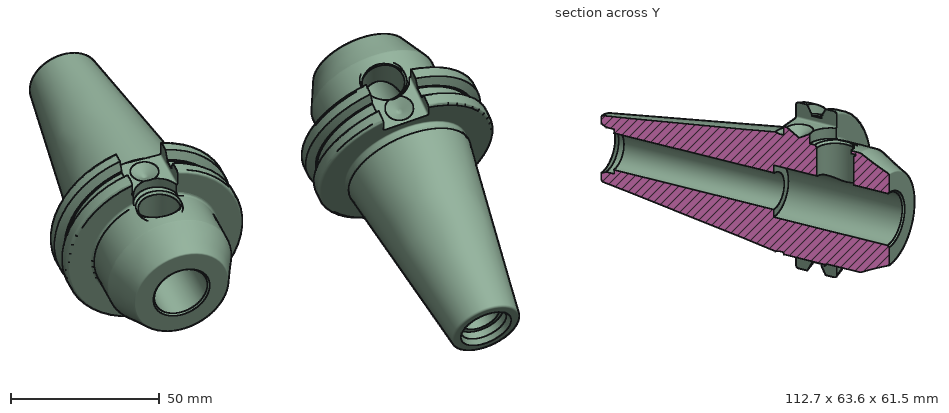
import cadquery as cq
import math


length = 112.7
taper_end_x = 68.2
gauge_radius = 44.4 / 2
taper_ratio = 7 / 24
small_end_radius = gauge_radius - taper_end_x * taper_ratio / 2
small_end_fillet = 0.8
neck_radius = 43.6 / 2
neck_x = 69.5
neck_fillet = 0.5

flange_front_x = 71.3
flange_back_x = 87.3
flange_radius = 63.6 / 2
flange_edge_fillet = 1.0
groove_radius = 28.2
groove_floor_width = 3.8
groove_center_x = (flange_front_x + flange_back_x) / 2
groove_wall_height = 0.7
groove_lean_angle = 30.0
groove_lean_radius = groove_radius + groove_wall_height
groove_lean_width = (flange_radius - groove_lean_radius) * math.tan(math.radians(groove_lean_angle))
groove_mouth_width = groove_floor_width + 2 * groove_lean_width

nose_radius = gauge_radius
nose_fillet = 0.9
nose_cone_x = 101.4
nose_cone_angle = 25.0
nose_end_radius = nose_radius - (length - nose_cone_x) * math.tan(math.radians(nose_cone_angle))
nose_end_fillet = 0.6
nose_cone_fillet = 0.9

through_bore_diameter = 13.4
tool_bore_diameter = 19.0
tool_bore_depth = 45.1
tool_bore_mouth_diameter = 20.3
pull_bore_diameter = 16.3
pull_bore_depth = 5.0
pull_bore_mouth_diameter = 18.3
pull_bore_mouth_depth = 2.0

slot_width = 16.3
slot_corner_fillet = 0.7
upper_slot_floor_z = 24.9
lower_slot_floor_z = 22.5

dimple_x = 77.4
dimple_diameter = 9.6
dimple_angle = 120.0
screw_x = 91.6
screw_diameter = 14.3
screw_chamfer_diameter = 16.0
screw_seat_z = 21.0
screw_seat_diameter = 16.1
seat_x = 89.7


def cylinder_x(start_x, end_x, diameter):
    return cq.Workplane("YZ", origin=(start_x, 0, 0)).circle(diameter / 2).extrude(end_x - start_x)


def cone_x(start_x, end_x, start_diameter, end_diameter):
    profile = [(start_x, 0), (start_x, start_diameter / 2), (end_x, end_diameter / 2), (end_x, 0)]
    return cq.Workplane("XY").polyline(profile).close().revolve(360, (0, 0, 0), (1, 0, 0))


def make_body():
    outline = [
        (0, 0),
        (0, small_end_radius),
        (taper_end_x, gauge_radius),
        (neck_x, neck_radius),
        (flange_front_x, neck_radius),
        (flange_front_x, flange_radius),
        (groove_center_x - groove_mouth_width / 2, flange_radius),
        (groove_center_x - groove_floor_width / 2, groove_lean_radius),
        (groove_center_x - groove_floor_width / 2, groove_radius),
        (groove_center_x + groove_floor_width / 2, groove_radius),
        (groove_center_x + groove_floor_width / 2, groove_lean_radius),
        (groove_center_x + groove_mouth_width / 2, flange_radius),
        (flange_back_x, flange_radius),
        (flange_back_x, nose_radius),
        (nose_cone_x, nose_radius),
        (length, nose_end_radius),
        (length, 0),
    ]
    body = cq.Workplane("XY").polyline(outline).close().revolve(360, (0, 0, 0), (1, 0, 0))

    def rim(x, radius):
        reach = 0.01
        return body.edges(
            cq.selectors.BoxSelector(
                (x - reach, -radius - 1.1, -radius - 1.1), (x + reach, radius + 1.1, radius + 1.1), boundingbox=True
            )
        ).edges(cq.selectors.RadiusNthSelector(0 if radius < flange_radius else -1))

    body = rim(0, small_end_radius).fillet(small_end_fillet)
    body = rim(flange_front_x, neck_radius).fillet(neck_fillet)
    body = rim(flange_front_x, flange_radius).fillet(flange_edge_fillet)
    body = rim(flange_back_x, flange_radius).fillet(flange_edge_fillet)
    body = rim(flange_back_x, nose_radius).fillet(nose_fillet)
    body = rim(nose_cone_x, nose_radius).fillet(nose_cone_fillet)
    body = rim(length, nose_end_radius).fillet(nose_end_fillet)
    return body


def make_bores():
    bores = cylinder_x(0, length, through_bore_diameter)
    bores = bores.union(cylinder_x(length - tool_bore_depth, length, tool_bore_diameter))
    mouth_depth = (tool_bore_mouth_diameter - tool_bore_diameter) / 2
    bores = bores.union(
        cone_x(length - mouth_depth, length, tool_bore_diameter, tool_bore_mouth_diameter)
    )
    bores = bores.union(cylinder_x(0, pull_bore_depth, pull_bore_diameter))
    return bores.union(cone_x(0, pull_bore_mouth_depth, pull_bore_mouth_diameter, pull_bore_diameter))


def make_slot(floor_z, side):
    height = flange_radius - floor_z + 1.1
    slot = cq.Workplane("XY").box(
        flange_back_x - flange_front_x, slot_width, height, centered=(False, True, False)
    )
    slot = slot.edges("|X and <Z").fillet(slot_corner_fillet)
    slot = slot.translate((flange_front_x, 0, floor_z))
    return slot if side > 0 else slot.mirror("XY")


def make_dimple():
    depth = dimple_diameter / 2 / math.tan(math.radians(dimple_angle / 2))
    profile = [(0, 0), (dimple_diameter / 2, 0), (0, -depth)]
    cone = cq.Workplane("XZ").polyline(profile).close().revolve(360, (0, 0, 0), (0, 1, 0))
    return cone.translate((dimple_x, 0, upper_slot_floor_z))


def make_screw_hole():
    hole = cq.Workplane("XY").circle(screw_diameter / 2).extrude(screw_seat_z)
    chamfer = (screw_chamfer_diameter - screw_diameter) / 2
    profile = [
        (0, screw_seat_z - chamfer),
        (screw_diameter / 2, screw_seat_z - chamfer),
        (screw_chamfer_diameter / 2, screw_seat_z),
        (0, screw_seat_z),
    ]
    hole = hole.union(cq.Workplane("XZ").polyline(profile).close().revolve(360, (0, 0, 0), (0, 1, 0)))
    hole = hole.translate((screw_x, 0, 0))
    seat = cq.Workplane("XY", origin=(seat_x, 0, screw_seat_z)).circle(screw_seat_diameter / 2)
    return hole.union(seat.extrude(flange_radius - screw_seat_z))


slotted = make_body().cut(make_slot(upper_slot_floor_z, 1)).cut(make_slot(lower_slot_floor_z, -1))
result = slotted.cut(make_bores()).cut(make_dimple()).cut(make_screw_hole())